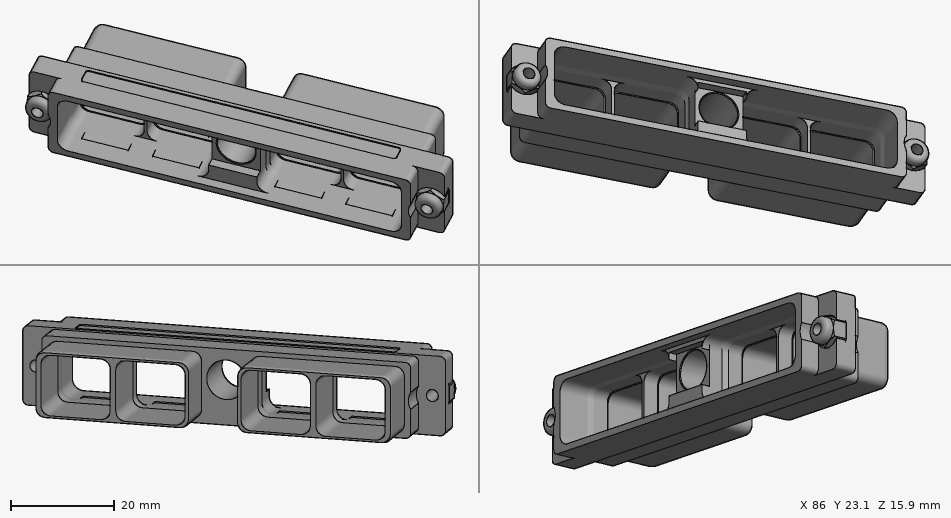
import cadquery as cq


overall_length = 86.0

shell_length = 74.8
shell_height = 15.9
ear_length = 85.7
ear_front = 4.2
ear_back = 9.0
corner_radius = 1.1
rear_body_height = 15.2
rear_body_back = 14.3
socket_inner_x = 5.0
socket_outer_x = 36.1
socket_height = 13.3
socket_back = 23.05
socket_corner_radius = 1.9
socket_lead_length = 0.8
socket_lead_inset = 0.2

pocket_outer_x = 35.5
pocket_height = 13.2
pocket_corner_radius = 2.2
funnel_front = 7.0
funnel_back = 8.25
window_inner_x = 5.4
window_outer_x = 35.2
window_height = 12.6
window_corner_radius = 2.0
divider_x = 20.3
divider_width = 0.6
lip_front = 11.7
lip_inset = 0.3

post_front = 2.0
post_recess_back = 3.9
post_recess_height = 8.8
post_recess_z = 1.4
post_hole_z = 1.5
post_hole_radius = 3.95
post_hole_chamfer = 0.2

groove_length = 9.6
groove_centres = (-27.3, -12.6, 12.6, 27.3)
groove_front = 4.2
groove_back = 6.1
groove_depth = 0.3

label_length = 65.0
label_front = 4.9
label_back = 8.25
label_corner_radius = 0.6
label_depth = 0.3

insert_flats = 5.6
insert_x = (overall_length - insert_flats) / 2
insert_seat = 6.6
insert_hex_front = 3.35
insert_front = 1.55
insert_head_radius = 2.75
insert_head_fillet = 1.0
insert_bore_radius = 1.2
insert_clearance_radius = 3.3
hex_chamfer_slope = 0.58


def plane_at(y, x=0.0, z=0.0):
    """Plane facing +Y whose local axes are -X and Z."""
    return cq.Plane(origin=(x, y, z), xDir=(-1, 0, 0), normal=(0, 1, 0))


def bar(x_min, x_max, height, y_min, y_max, radius):
    """Bar along Y, centred on Z = 0, with rounded long edges."""
    return (
        cq.Workplane(plane_at(y_min, (x_min + x_max) / 2))
        .rect(x_max - x_min, height)
        .extrude(y_max - y_min)
        .edges("|Y")
        .fillet(radius)
    )


def rounded_section(x_min, x_max, height, radius):
    """Rounded rectangle for use as one section of a taper."""
    return cq.Sketch().rect(x_max - x_min, height).vertices().fillet(radius)


def taper(front, back, y_min, y_max):
    """Solid between two rounded rectangles (x_min, x_max, height, radius)."""
    front_x = (front[0] + front[1]) / 2
    back_x = (back[0] + back[1]) / 2
    shift = cq.Location(cq.Vector(front_x - back_x, 0, y_max - y_min))
    return (
        cq.Workplane(plane_at(y_min, front_x))
        .placeSketch(
            rounded_section(*front),
            rounded_section(*back).moved(shift),
        )
        .loft(ruled=True)
    )


def cylinder(x, z, radius, y_min, y_max):
    """Cylinder along Y."""
    return cq.Workplane(plane_at(y_min, x, z)).circle(radius).extrude(y_max - y_min)


def mirror_x(solid):
    """The solid together with its mirror image about X = 0."""
    return solid.union(solid.mirror("YZ"))


def outer_body():
    half_shell = shell_length / 2
    half_ears = ear_length / 2
    shell = bar(-half_shell, half_shell, shell_height, 0, ear_back, corner_radius)
    ears = bar(-half_ears, half_ears, shell_height, ear_front, ear_back, corner_radius)
    rear = bar(-half_shell, half_shell, rear_body_height, ear_front, rear_body_back, corner_radius)
    return shell.union(ears).union(rear)


def rear_socket():
    """Right-hand socket block, slightly tapered at its rear end."""
    lead_start = socket_back - socket_lead_length
    straight = bar(
        socket_inner_x, socket_outer_x, socket_height, ear_back, lead_start, socket_corner_radius
    )
    full = (socket_inner_x, socket_outer_x, socket_height, socket_corner_radius)
    reduced = (
        socket_inner_x,
        socket_outer_x - socket_lead_inset,
        socket_height - 2 * socket_lead_inset,
        socket_corner_radius,
    )
    return straight.union(taper(full, reduced, lead_start, socket_back))


def front_pocket():
    """Right-hand pocket that funnels down to the span of its two windows."""
    wide = (socket_inner_x, pocket_outer_x, pocket_height, pocket_corner_radius)
    narrow = (window_inner_x, window_outer_x, window_height, window_corner_radius)
    straight = bar(
        socket_inner_x, pocket_outer_x, pocket_height, 0, funnel_front, pocket_corner_radius
    )
    return straight.union(taper(wide, narrow, funnel_front, funnel_back))


def window(x_min, x_max):
    """Through window with an inward step part-way along."""
    opening = bar(x_min, x_max, window_height, funnel_back, lip_front, window_corner_radius)
    throat = bar(
        x_min + lip_inset,
        x_max - lip_inset,
        window_height - 2 * lip_inset,
        lip_front,
        socket_back,
        window_corner_radius,
    )
    return opening.union(throat)


def windows():
    half_divider = divider_width / 2
    inner = window(window_inner_x, divider_x - half_divider)
    outer = window(divider_x + half_divider, window_outer_x)
    return inner.union(outer)


def post_cut():
    """Space ahead of the centre post, its recess and its through hole."""
    ahead = bar(-pocket_outer_x, pocket_outer_x, pocket_height, 0, post_front, pocket_corner_radius)
    recess = (
        cq.Workplane(plane_at(post_front, 0, post_recess_z))
        .rect(2 * socket_inner_x, post_recess_height)
        .extrude(post_recess_back - post_front)
    )
    hole = cylinder(0, post_hole_z, post_hole_radius, post_front, rear_body_back)
    countersink = (
        cq.Workplane(plane_at(post_recess_back, 0, post_hole_z))
        .circle(post_hole_radius + post_hole_chamfer)
        .workplane(offset=post_hole_chamfer)
        .circle(post_hole_radius)
        .loft()
    )
    return ahead.union(recess).union(hole).union(countersink)


def latch_groove(x):
    """Wedge groove, deepest at its front edge."""
    floor = -pocket_height / 2
    return (
        cq.Workplane("YZ", origin=(x - groove_length / 2, 0, 0))
        .moveTo(groove_front, floor)
        .lineTo(groove_back, floor)
        .lineTo(groove_front, floor - groove_depth)
        .close()
        .extrude(groove_length)
    )


def label_recess():
    return (
        cq.Workplane("XY", origin=(0, (label_front + label_back) / 2, shell_height / 2))
        .rect(label_length, label_back - label_front)
        .extrude(-label_depth)
        .edges("|Z")
        .fillet(label_corner_radius)
    )


def insert_clearance():
    """Round seat in the ear, also relieving the ends of the body."""
    front = cylinder(insert_x, 0, insert_clearance_radius, 0, insert_seat)
    rear = cylinder(insert_x, 0, insert_clearance_radius, ear_back, rear_body_back)
    bore = cylinder(insert_x, 0, insert_bore_radius, insert_seat, ear_back)
    return front.union(rear).union(bore)


def threaded_insert():
    """Hexagonal insert with a chamfered front and a rounded head."""
    hexagon = (
        cq.Workplane(plane_at(insert_hex_front, insert_x))
        .polygon(6, insert_flats, circumscribed=True)
        .extrude(insert_seat - insert_hex_front)
    )
    hex_length = insert_seat - insert_hex_front
    cone_back_radius = insert_head_radius + hex_length / hex_chamfer_slope
    cone = (
        cq.Workplane(plane_at(insert_hex_front, insert_x))
        .circle(insert_head_radius)
        .workplane(offset=hex_length)
        .circle(cone_back_radius)
        .loft()
    )
    head = (
        cylinder(insert_x, 0, insert_head_radius, insert_front, insert_hex_front)
        .faces("<Y")
        .edges()
        .fillet(insert_head_fillet)
    )
    bore = cylinder(insert_x, 0, insert_bore_radius, insert_front, insert_seat)
    return hexagon.intersect(cone).union(head).cut(bore)


result = outer_body().union(mirror_x(rear_socket()))
result = result.cut(mirror_x(front_pocket())).cut(mirror_x(windows())).cut(post_cut())
for groove_x in groove_centres:
    result = result.cut(latch_groove(groove_x))
result = result.cut(label_recess())
result = result.cut(mirror_x(insert_clearance()))
result = result.union(mirror_x(threaded_insert()))